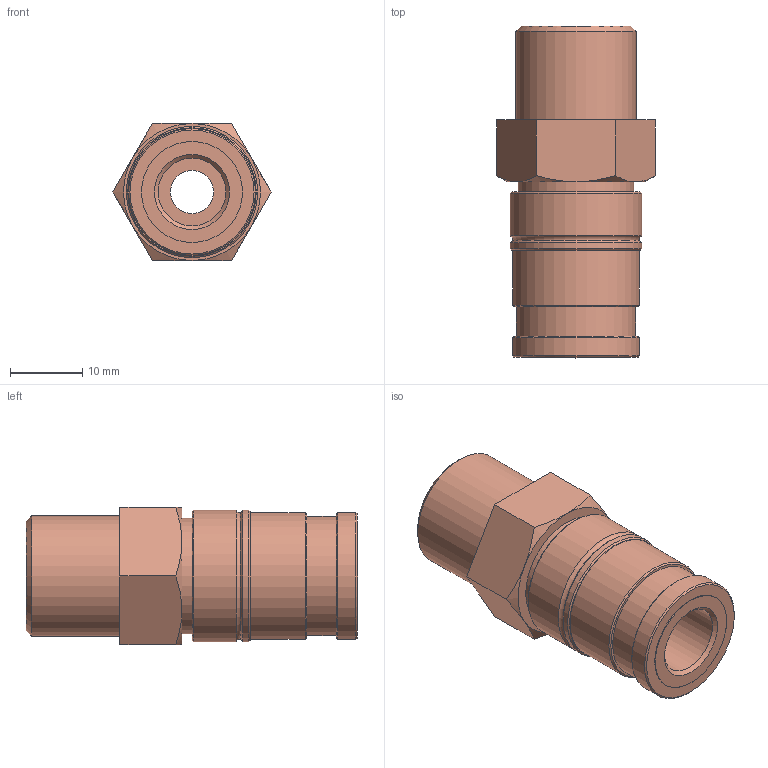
import cadquery as cq
import math

LENGTH = 46.0

RIM_R = 7.0
SLEEVE_R = 8.8
WAIST_R = 8.25
COLLAR_R = 9.1
GROOVE_DEPTH = 0.35
NECK_R = 8.0
SHANK_R = 16.662 / 2
HEX_FLATS = 19.0

FLANGE_FRONT = 0.1
FLANGE_BACK = 3.0
BODY_FRONT = 7.1
RING_FRONT = 14.9
RING_BACK = 15.95
COLLAR_FRONT = 16.9
COLLAR_BACK = 23.0
HEX_FRONT = 24.4
HEX_BACK = 33.0

SHOULDER_CHAMFER = 0.2
SHANK_CHAMFER = 0.75
HEX_CHAMFER_ANGLE = math.radians(30)

PASSAGE_R = 3.0
SOCKET_R = 4.7
SOCKET_DEPTH = COLLAR_BACK
MOUTH_CHAMFER = 0.5


def cylinder(radius, start, end):
    """Solid cylinder about the Y axis between two axial stations."""
    return cq.Workplane("XZ", origin=(0, start, 0)).circle(radius).extrude(start - end)


def revolve_about_y(outline):
    """Close an outline drawn as (radius, y) and revolve it about the Y axis."""
    return outline.close().revolve(360, (0, 0, 0), (0, 1, 0))


def make_sleeve():
    """Mouth rim, flange, waist, main body, ring, collar and the neck behind them."""
    rim = cylinder(RIM_R, 0, BODY_FRONT)
    flange = cylinder(SLEEVE_R, FLANGE_FRONT, FLANGE_BACK).edges().chamfer(SHOULDER_CHAMFER)
    waist = cylinder(WAIST_R, FLANGE_BACK, BODY_FRONT)
    body = cylinder(SLEEVE_R, BODY_FRONT, RING_FRONT).faces("<Y").edges().chamfer(SHOULDER_CHAMFER)
    collar = cylinder(COLLAR_R, RING_FRONT, COLLAR_BACK).edges().chamfer(SHOULDER_CHAMFER)
    neck = cylinder(NECK_R, BODY_FRONT, HEX_FRONT)
    return rim.union(flange).union(waist).union(body).union(collar).union(neck)


def make_collar_groove():
    """Ring-shaped cutter: 45 degree flank beside the ring, concave arc up to the collar."""
    floor_r = COLLAR_R - GROOVE_DEPTH
    floor_y = RING_BACK + GROOVE_DEPTH
    arc_length_y = COLLAR_FRONT - floor_y
    arc_radius = (arc_length_y**2 + GROOVE_DEPTH**2) / (2 * GROOVE_DEPTH)
    half_sweep = math.atan2(GROOVE_DEPTH, arc_length_y)
    arc_middle = (
        floor_r + arc_radius * (1 - math.cos(half_sweep)),
        floor_y + arc_radius * math.sin(half_sweep),
    )
    return revolve_about_y(
        cq.Workplane("XY")
        .moveTo(COLLAR_R, RING_BACK)
        .lineTo(floor_r, floor_y)
        .threePointArc(arc_middle, (COLLAR_R, COLLAR_FRONT))
    )


def make_hex():
    """Hexagon with corners on the X axis; a cone breaks the corners of its front face."""
    corner_diameter = HEX_FLATS / math.cos(math.pi / 6)
    prism = (
        cq.Workplane("XZ", origin=(0, HEX_FRONT, 0))
        .polygon(6, corner_diameter)
        .extrude(HEX_FRONT - HEX_BACK)
    )
    cone_front_r = HEX_FLATS / 2
    cone_length = HEX_BACK - HEX_FRONT
    cone_back_r = cone_front_r + cone_length / math.tan(HEX_CHAMFER_ANGLE)
    cone = revolve_about_y(
        cq.Workplane("XY")
        .moveTo(0, HEX_FRONT)
        .lineTo(cone_front_r, HEX_FRONT)
        .lineTo(cone_back_r, HEX_BACK)
        .lineTo(0, HEX_BACK)
    )
    return prism.intersect(cone)


def make_shank():
    """Plain shank at the thread's major diameter, chamfered at its end."""
    return cylinder(SHANK_R, HEX_BACK, LENGTH).faces(">Y").edges().chamfer(SHANK_CHAMFER)


def make_bore():
    """Through passage, wider socket from the mouth, and the chamfer at the mouth."""
    passage = cylinder(PASSAGE_R, 0, LENGTH)
    socket = cylinder(SOCKET_R, 0, SOCKET_DEPTH)
    lead_in = revolve_about_y(
        cq.Workplane("XY")
        .lineTo(SOCKET_R + MOUTH_CHAMFER, 0)
        .lineTo(SOCKET_R, MOUTH_CHAMFER)
        .lineTo(0, MOUTH_CHAMFER)
    )
    return passage.union(socket).union(lead_in)


outside = make_sleeve().cut(make_collar_groove()).union(make_hex()).union(make_shank())
result = outside.cut(make_bore())